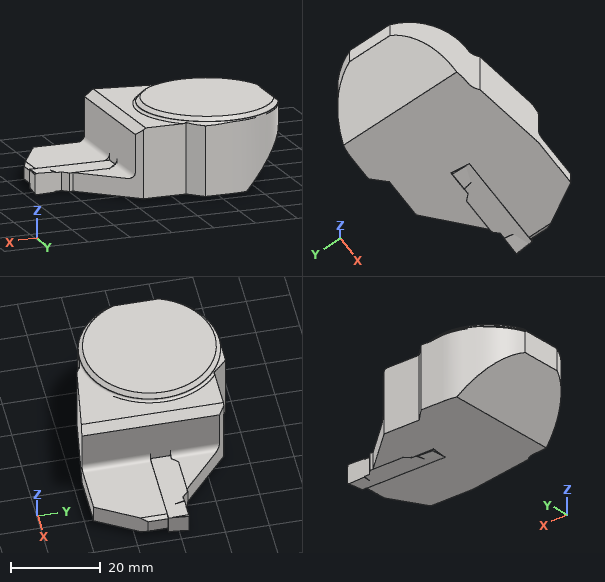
import cadquery as cq
import math

HEAD_RADIUS = 16.0
RIM_RADIUS = 15.9
RIM_CHAMFER = 0.95
HEAD_TOP = 18.0
HEAD_FLAT_X = -15.0
HEAD_FILLET = 0.6
UNDERCUT_START_Z = 11.45

BLOCK_TOP = 16.5
BLOCK_END_X = 21.5
BLOCK_BACK_Y = 12.6
FRONT_Y = -20.1
TAB_END_X = 6.5
TAB_FOOT_X = 9.9
FLANK_START = (3.05, -17.2)
BACK_CORNER_X = 20.0
EDGE_CHAMFER_X = 1.95
EDGE_CHAMFER_Z = 1.7

BLADE_TOP = 4.4
BLADE_FILLET = 1.5
BLADE_END_X = 40.15
BLADE_END_CHAMFER_X = 0.9
BLADE_END_CHAMFER_Z = 0.7
BLADE_FRONT_END_X = 33.7
BLADE_CORNER_Y = -9.1
BLADE_BACK_END_X = 32.6

TIP_X = 41.1
INSERT_MIDDLE_X = 28.6
SEAT_Y = -4.5
CUTTING_Y = 0.1
SPINE_Y = 1.45
SPINE_HALF = 4.8
NECK_HALF = 6.1
END_RELIEF = 0.5
LIP_RISE = 0.35
LIP_INNER_X = 36.2
LIP_FOOT_INNER = (36.6, -2.1)
LIP_FOOT_OUTER = (40.6, -3.6)
LIP_CORNER = 0.3
MARGIN = 11.2


def holder_outline():
    """Plan of the head and block, with the concave blend at the front."""
    side_x = HEAD_FLAT_X
    side_y = math.sqrt(HEAD_RADIUS**2 - side_x**2)
    diagonal = HEAD_RADIUS * math.sqrt(0.5)
    corner_drop = BLOCK_END_X - BACK_CORNER_X
    blend_drop = -HEAD_RADIUS - FLANK_START[1]
    blend_radius = (FLANK_START[0]**2 + blend_drop**2) / (2 * blend_drop)
    slope = (BLOCK_BACK_Y - SPINE_Y) / (BLADE_BACK_END_X - BACK_CORNER_X)
    return (
        cq.Workplane("XY")
        .moveTo(side_x, side_y)
        .threePointArc((-diagonal, diagonal), (0, HEAD_RADIUS))
        .lineTo(TAB_END_X, HEAD_RADIUS)
        .lineTo(TAB_FOOT_X, BLOCK_BACK_Y)
        .lineTo(BACK_CORNER_X, BLOCK_BACK_Y)
        .lineTo(BLOCK_END_X, BLOCK_BACK_Y - slope * corner_drop)
        .lineTo(BLOCK_END_X, FRONT_Y)
        .lineTo(*FLANK_START)
        .radiusArc((0, -HEAD_RADIUS), -blend_radius)
        .threePointArc((-diagonal, -diagonal), (side_x, -side_y))
        .close()
    )


def make_head():
    """Chamfered disc with a fillet around its foot, cut flat on one side."""
    disc = (
        cq.Workplane("XZ")
        .lineTo(RIM_RADIUS + HEAD_FILLET, 0)
        .lineTo(RIM_RADIUS + HEAD_FILLET, BLOCK_TOP)
        .radiusArc((RIM_RADIUS, BLOCK_TOP + HEAD_FILLET), HEAD_FILLET)
        .lineTo(RIM_RADIUS, HEAD_TOP - RIM_CHAMFER)
        .lineTo(RIM_RADIUS - RIM_CHAMFER, HEAD_TOP)
        .lineTo(0, HEAD_TOP)
        .close()
        .revolve(360, (0, 0, 0), (0, 1, 0))
    )
    flat_side = (
        cq.Workplane("XZ")
        .moveTo(HEAD_FLAT_X, 0)
        .lineTo(HEAD_FLAT_X, HEAD_TOP - RIM_CHAMFER)
        .lineTo(HEAD_FLAT_X + RIM_CHAMFER, HEAD_TOP)
        .lineTo(HEAD_RADIUS + MARGIN, HEAD_TOP)
        .lineTo(HEAD_RADIUS + MARGIN, 0)
        .close()
        .extrude(HEAD_RADIUS + MARGIN, both=True)
    )
    return disc.intersect(flat_side).intersect(holder_outline().extrude(HEAD_TOP))


def make_block():
    edge_cutter = (
        cq.Workplane("XZ")
        .moveTo(BLOCK_END_X - EDGE_CHAMFER_X, BLOCK_TOP)
        .lineTo(BLOCK_END_X, BLOCK_TOP)
        .lineTo(BLOCK_END_X, BLOCK_TOP - EDGE_CHAMFER_Z)
        .close()
        .extrude(HEAD_RADIUS + MARGIN, both=True)
    )
    return holder_outline().extrude(BLOCK_TOP).cut(edge_cutter)


def make_blade():
    """Plan of the blade limited by its side profile."""
    plan = (
        cq.Workplane("XY")
        .polyline([
            (BACK_CORNER_X, BLOCK_BACK_Y),
            (BLADE_BACK_END_X, SPINE_Y),
            (BLADE_BACK_END_X, SEAT_Y),
            (BLADE_END_X, SEAT_Y),
            (BLADE_END_X, BLADE_CORNER_Y),
            (BLADE_FRONT_END_X, FRONT_Y),
            (BLOCK_END_X, FRONT_Y),
            (BACK_CORNER_X, SEAT_Y),
        ])
        .close()
        .extrude(BLOCK_TOP)
    )
    chamfer_start_x = BLADE_END_X - BLADE_END_CHAMFER_X
    profile = (
        cq.Workplane("XZ")
        .moveTo(0, 0)
        .lineTo(chamfer_start_x, 0)
        .lineTo(BLADE_END_X, BLADE_END_CHAMFER_Z)
        .lineTo(BLADE_END_X, BLADE_TOP - BLADE_END_CHAMFER_Z)
        .lineTo(chamfer_start_x, BLADE_TOP)
        .lineTo(BLOCK_END_X + BLADE_FILLET, BLADE_TOP)
        .radiusArc((BLOCK_END_X, BLADE_TOP + BLADE_FILLET), BLADE_FILLET)
        .lineTo(0, BLADE_TOP + BLADE_FILLET)
        .close()
        .extrude(HEAD_RADIUS + MARGIN, both=True)
    )
    return plan.intersect(profile)


def make_undercut():
    """Wedge below the head, rising at 45 degrees towards the flat."""
    return (
        cq.Workplane("XZ")
        .moveTo(HEAD_FLAT_X, 0)
        .lineTo(HEAD_FLAT_X, UNDERCUT_START_Z)
        .lineTo(HEAD_FLAT_X + UNDERCUT_START_Z, 0)
        .close()
        .extrude(HEAD_RADIUS + MARGIN, both=True)
    )


def tetrahedron(a, b, c, d):
    triangles = [(a, b, c), (a, b, d), (a, c, d), (b, c, d)]
    faces = []
    for triangle in triangles:
        corners = [cq.Vector(*point) for point in triangle]
        faces.append(cq.Face.makeFromWires(cq.Wire.makePolygon(corners, close=True)))
    return cq.Solid.makeSolid(cq.Shell.makeShell(faces))


def make_lip():
    """Raised cutting lip on top of one end, sloping down to its foot line."""
    foot_dx = LIP_FOOT_OUTER[0] - LIP_FOOT_INNER[0]
    foot_dy = LIP_FOOT_OUTER[1] - LIP_FOOT_INNER[1]
    foot_length = math.hypot(foot_dx, foot_dy)
    tip_distance = (
        foot_dx * (CUTTING_Y - LIP_FOOT_OUTER[1]) - foot_dy * (TIP_X - LIP_FOOT_OUTER[0])
    ) / foot_length
    slope_plane = cq.Plane(
        origin=(*LIP_FOOT_OUTER, BLADE_TOP),
        xDir=(-foot_dy, foot_dx, 0),
        normal=(foot_dx, foot_dy, 0),
    )
    slope = (
        cq.Workplane(slope_plane)
        .lineTo(tip_distance, 0)
        .lineTo(tip_distance, LIP_RISE)
        .close()
        .extrude(MARGIN, both=True)
    )
    footprint = (
        cq.Workplane("XY", origin=(0, 0, BLADE_TOP))
        .polyline([
            (LIP_INNER_X, CUTTING_Y),
            LIP_FOOT_INNER,
            LIP_FOOT_OUTER,
            (TIP_X, CUTTING_Y),
        ])
        .close()
        .extrude(LIP_RISE)
    )
    lip_top = BLADE_TOP + LIP_RISE
    corner = tetrahedron(
        (TIP_X, CUTTING_Y, lip_top),
        (TIP_X - LIP_CORNER, CUTTING_Y, lip_top),
        (TIP_X, CUTTING_Y, lip_top - LIP_CORNER),
        (*LIP_FOOT_OUTER, BLADE_TOP),
    )
    return slope.intersect(footprint).cut(cq.Workplane(corner))


def make_insert():
    """Double-ended insert with a lip above and below each end."""
    half_length = TIP_X - INSERT_MIDDLE_X
    half_outline = [
        (half_length - END_RELIEF, SEAT_Y),
        (half_length, CUTTING_Y),
        (NECK_HALF, CUTTING_Y),
        (SPINE_HALF, SPINE_Y),
    ]
    other_half = [(-x, y) for x, y in reversed(half_outline)]
    insert = (
        cq.Workplane("XY", origin=(INSERT_MIDDLE_X, 0, 0))
        .polyline(half_outline + other_half)
        .close()
        .extrude(BLADE_TOP)
    )
    upper_lip = make_lip()
    lower_lip = upper_lip.mirror("XY", (0, 0, BLADE_TOP / 2))
    for lip in (upper_lip, lower_lip):
        insert = insert.union(lip).union(lip.mirror("YZ", (INSERT_MIDDLE_X, 0, 0)))
    return insert


def make_fillet_gap():
    """Gap in the blade fillet above the insert, up to the end face of the block."""
    return (
        cq.Workplane("XY", origin=(BLOCK_END_X, SEAT_Y, BLADE_TOP))
        .polyline([
            (0, 0),
            (MARGIN, 0),
            (MARGIN, SPINE_Y - SEAT_Y),
            (INSERT_MIDDLE_X - SPINE_HALF - BLOCK_END_X, SPINE_Y - SEAT_Y),
            (INSERT_MIDDLE_X - NECK_HALF - BLOCK_END_X, CUTTING_Y - SEAT_Y),
            (0, CUTTING_Y - SEAT_Y),
        ])
        .close()
        .extrude(BLADE_FILLET)
    )


def make_holder(insert):
    """Holder with a pocket that matches the insert."""
    body = make_block().union(make_head()).union(make_blade())
    return body.cut(make_undercut()).cut(make_fillet_gap()).cut(insert)


insert = make_insert()
holder = make_holder(insert)
result = cq.Compound.makeCompound([*holder.solids().vals(), *insert.solids().vals()])